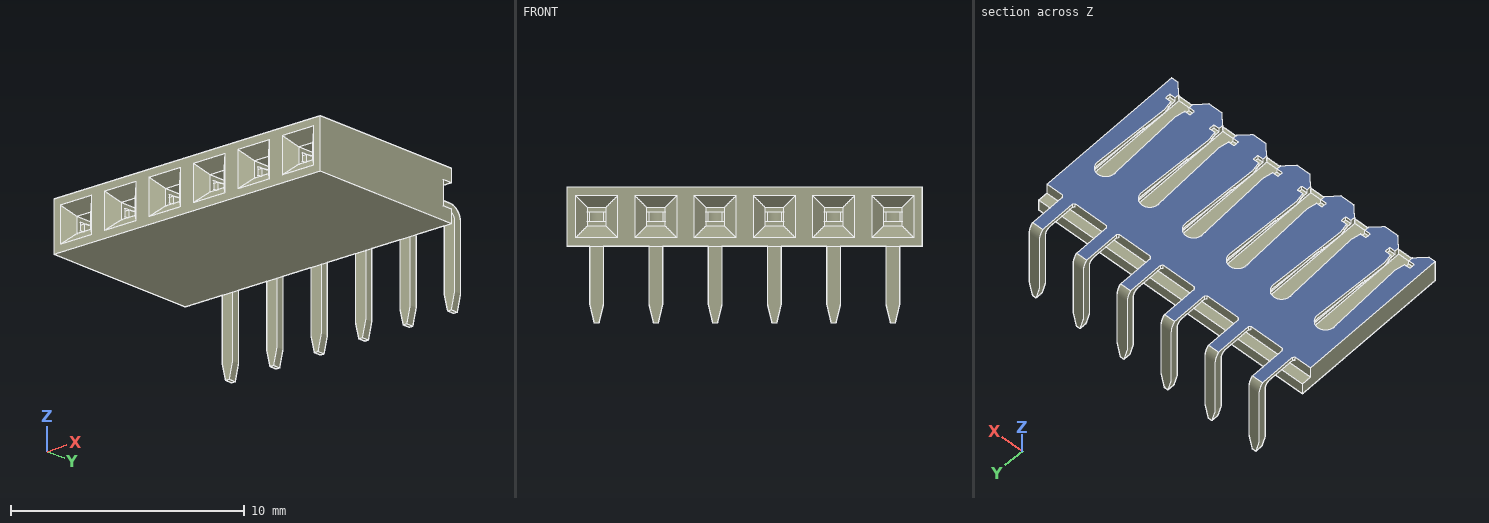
import cadquery as cq


position_count = 6
housing_length = 15.24
housing_depth = 8.5
housing_height = 2.55
pitch = housing_length / position_count
rear_groove_height = 1.2
rear_groove_depth = 0.52

mouth_size = 1.8
bore_size = 0.8
funnel_depth = 0.5
bore_depth = 6.1

pocket_start = 0.75
pocket_depth = 0.26
pocket_width = 1.4
gap_start = pocket_start + pocket_depth
gap_lead_in = 0.5
gap_throat = gap_start + gap_lead_in
gap_throat_width = 0.6
gap_end_radius = 0.47
gap_end_center = bore_depth - gap_end_radius

strip_thickness = 0.4
tail_width = 0.6
tail_reach = 1.69
tail_drop = 3.29
bend_inner_radius = 0.3
bend_outer_radius = bend_inner_radius + strip_thickness
tip_length = 0.8
tip_width = 0.21
shoulder_length = 0.09
shoulder_step = 0.08
tail_embedding = 0.3

groove_floor_y = housing_depth - rear_groove_depth
tail_outer_y = housing_depth + tail_reach
tail_bottom_z = -housing_height / 2 - tail_drop
socket_centers = [(i - (position_count - 1) / 2) * pitch for i in range(position_count)]


def make_housing():
    """Plain block with a groove along its whole rear face."""
    block = cq.Workplane("XY").box(
        housing_length, housing_depth, housing_height, centered=(True, False, True)
    )
    groove = (
        cq.Workplane("XY")
        .box(housing_length, rear_groove_depth, rear_groove_height, centered=(True, False, True))
        .translate((0, groove_floor_y, 0))
    )
    return block.cut(groove)


def make_strip_block(width, start_y, end_y):
    """Block as thick as the contact strip, centred on the socket axis."""
    return (
        cq.Workplane("XY")
        .box(width, end_y - start_y, strip_thickness, centered=(True, False, True))
        .translate((0, start_y, 0))
    )


def make_contact_gap():
    """Space between the fork's arms: it narrows to a throat, widens again and ends in a half circle."""
    return (
        cq.Workplane("XY")
        .workplane(offset=-strip_thickness / 2)
        .moveTo(-bore_size / 2, gap_start)
        .lineTo(bore_size / 2, gap_start)
        .lineTo(gap_throat_width / 2, gap_throat)
        .lineTo(gap_end_radius, gap_end_center)
        .threePointArc((0, bore_depth), (-gap_end_radius, gap_end_center))
        .lineTo(-gap_throat_width / 2, gap_throat)
        .close()
        .extrude(strip_thickness)
    )


def make_socket_space():
    """Empty space of one socket: funnel, square bore, side pocket and the gap in the fork."""
    funnel = (
        cq.Workplane("XZ")
        .rect(mouth_size, mouth_size)
        .workplane(offset=-funnel_depth)
        .rect(bore_size, bore_size)
        .loft(ruled=True)
    )
    bore = cq.Workplane("XZ").rect(bore_size, bore_size).extrude(-bore_depth)
    pocket = make_strip_block(pocket_width, pocket_start, gap_start)
    fork_in_bore = make_strip_block(bore_size, gap_start, bore_depth)
    return funnel.union(bore).union(pocket).cut(fork_in_bore).union(make_contact_gap())


def make_tail():
    """Bent tail of one contact, with a flared shoulder at the housing and a tapered tip."""
    top_z = strip_thickness / 2
    start_y = groove_floor_y - tail_embedding
    side_profile = (
        cq.Workplane("YZ")
        .moveTo(start_y, top_z)
        .lineTo(tail_outer_y - bend_outer_radius, top_z)
        .radiusArc((tail_outer_y, top_z - bend_outer_radius), bend_outer_radius)
        .lineTo(tail_outer_y, tail_bottom_z)
        .lineTo(tail_outer_y - strip_thickness, tail_bottom_z)
        .lineTo(tail_outer_y - strip_thickness, top_z - bend_outer_radius)
        .radiusArc((tail_outer_y - bend_outer_radius, -top_z), -bend_inner_radius)
        .lineTo(start_y, -top_z)
        .close()
        .extrude(tail_width / 2, both=True)
    )
    tip_start_z = tail_bottom_z + tip_length
    front_outline = (
        cq.Workplane("XZ")
        .polyline([
            (-tail_width / 2, top_z),
            (tail_width / 2, top_z),
            (tail_width / 2, tip_start_z),
            (tip_width / 2, tail_bottom_z),
            (-tip_width / 2, tail_bottom_z),
            (-tail_width / 2, tip_start_z),
        ])
        .close()
        .extrude(-tail_outer_y)
    )
    shoulder_half_width = tail_width / 2 + shoulder_step
    shoulder_end_y = groove_floor_y + shoulder_length
    shoulder = (
        cq.Workplane("XY")
        .workplane(offset=-strip_thickness / 2)
        .polyline([
            (-shoulder_half_width, start_y),
            (shoulder_half_width, start_y),
            (shoulder_half_width, groove_floor_y),
            (tail_width / 2, shoulder_end_y),
            (-tail_width / 2, shoulder_end_y),
            (-shoulder_half_width, groove_floor_y),
        ])
        .close()
        .extrude(strip_thickness)
    )
    return side_profile.intersect(front_outline).union(shoulder)


result = make_housing()
socket_space = make_socket_space()
tail = make_tail()
for x in socket_centers:
    result = result.cut(socket_space.translate((x, 0, 0)))
    result = result.union(tail.translate((x, 0, 0)))